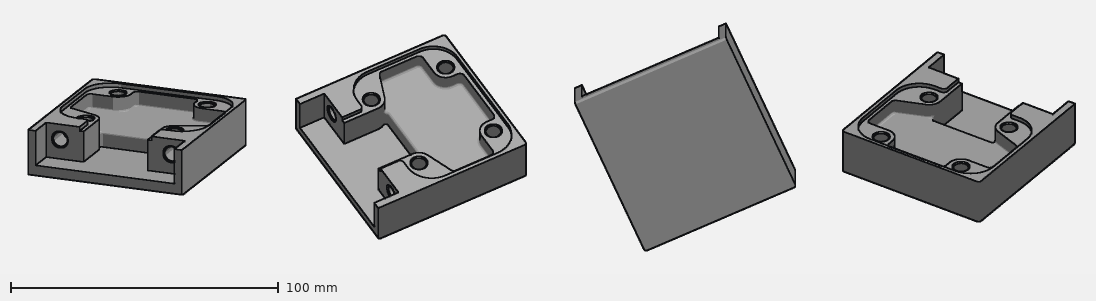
import cadquery as cq
import math

WIDTH = 62.0
LENGTH = 64.0
HEIGHT = 18.0
EDGE_RADIUS = 1.0

WALL = 3.0
NOTCH_HALF_WIDTH = WIDTH / 2 - WALL
NOTCH_DEPTH = 10.4
FLOOR_Z = 4.35

RECESS_DEPTH = 1.6
RECESS_SIDE_RIM = 1.6
RECESS_HALF_WIDTH = WIDTH / 2 - RECESS_SIDE_RIM
RECESS_FRONT_Y = 19.5
RECESS_BACK_Y = 62.6
RECESS_RADIUS = 10.25
RECESS_LIP_RADIUS = 1.5
CHANNEL_LEDGE = 1.6
LEDGE_Z = HEIGHT - RECESS_DEPTH

HOLE_DIAMETER = 5.6
HOLE_CHAMFER = 0.48
HOLE_DEPTH = 10.0
COVER_HOLE_X = 18.0
COVER_HOLE_FRONT_Y = 24.95
COVER_HOLE_BACK_Y = 56.95
FRONT_HOLE_X = 22.45
FRONT_HOLE_Z = 12.0

BOSS_RADIUS = 5.05
CHANNEL_HALF_WIDTH = COVER_HOLE_X - BOSS_RADIUS
POCKET_BACK_Y = 61.0
POCKET_FLOOR_Z = 10.5
POCKET_CORNER_RADIUS = 1.8
POCKET_FLOOR_RADIUS = 0.9
SLOPE_DEGREES = 20.0

STEP_Y = 29.25
STEP_CORNER_RADIUS = 1.0
STEP_EDGE_RADIUS = 1.0


def point_on_boss(hole_y, degrees):
    """Point on the wall of a right-hand boss; 180 degrees faces the middle of the part."""
    angle = math.radians(degrees)
    return COVER_HOLE_X + BOSS_RADIUS * math.cos(angle), hole_y + BOSS_RADIUS * math.sin(angle)


def round_uprights(solid, right_points, z, radius):
    """Round the upright edges at the given right-hand points and their mirror images."""
    for x, y in right_points:
        for side in (-1, 1):
            solid = solid.edges(cq.selectors.NearestToPointSelector((side * x, y, z))).fillet(radius)
    return solid


def make_block():
    """Outer block with rounded back corners and a rounded lower front edge."""
    block = cq.Workplane("XY").box(WIDTH, LENGTH, HEIGHT, centered=(True, False, False))
    block = block.edges("|Z and >Y").fillet(EDGE_RADIUS)
    return block.edges("|X and <Y and <Z").fillet(EDGE_RADIUS)


def box_cut(half_width, y_start, y_end, z_floor):
    """Cutter centred on X that is open to the top of the block."""
    size = (2 * half_width, y_end - y_start, HEIGHT - z_floor)
    return cq.Workplane("XY").box(*size, centered=(True, False, False)).translate((0, y_start, z_floor))


def make_recess():
    """Cutter for the cover recess, with its narrow arm reaching the front notch."""
    half_channel = CHANNEL_HALF_WIDTH + CHANNEL_LEDGE
    plate = box_cut(RECESS_HALF_WIDTH, RECESS_FRONT_Y, RECESS_BACK_Y, LEDGE_Z)
    plate = plate.edges("|Z").fillet(RECESS_RADIUS)
    recess = plate.union(box_cut(half_channel, 0, COVER_HOLE_FRONT_Y, LEDGE_Z))
    return round_uprights(recess, [(half_channel, RECESS_FRONT_Y)], (LEDGE_Z + HEIGHT) / 2, RECESS_LIP_RADIUS)


def make_pocket():
    """Cutter for the main pocket, run out to the front of the block between the front bosses."""
    slope_start_degrees = 90 + SLOPE_DEGREES
    slope_start = point_on_boss(COVER_HOLE_FRONT_Y, slope_start_degrees)
    slope_rise = (NOTCH_HALF_WIDTH - slope_start[0]) * math.tan(math.radians(SLOPE_DEGREES))
    side_front = (NOTCH_HALF_WIDTH, slope_start[1] + slope_rise)
    side_back = (NOTCH_HALF_WIDTH, COVER_HOLE_BACK_Y - BOSS_RADIUS)
    neck_back = (CHANNEL_HALF_WIDTH, POCKET_BACK_Y)
    front_arc_mid = point_on_boss(COVER_HOLE_FRONT_Y, (180 + slope_start_degrees) / 2)
    back_arc_mid = point_on_boss(COVER_HOLE_BACK_Y, (180 + 270) / 2)
    pocket_depth = HEIGHT - POCKET_FLOOR_Z
    pocket = (
        cq.Workplane("XY", origin=(0, 0, POCKET_FLOOR_Z))
        .moveTo(0, 0)
        .lineTo(CHANNEL_HALF_WIDTH, 0)
        .lineTo(CHANNEL_HALF_WIDTH, COVER_HOLE_FRONT_Y)
        .threePointArc(front_arc_mid, slope_start)
        .lineTo(*side_front)
        .lineTo(*side_back)
        .lineTo(COVER_HOLE_X, COVER_HOLE_BACK_Y - BOSS_RADIUS)
        .threePointArc(back_arc_mid, (CHANNEL_HALF_WIDTH, COVER_HOLE_BACK_Y))
        .lineTo(*neck_back)
        .lineTo(0, POCKET_BACK_Y)
        .mirrorY()
        .extrude(pocket_depth)
    )
    corners = [side_front, side_back, neck_back]
    pocket = round_uprights(pocket, corners, POCKET_FLOOR_Z + pocket_depth / 2, POCKET_CORNER_RADIUS)
    return pocket.faces("<Z").edges().fillet(POCKET_FLOOR_RADIUS)


def make_channel():
    """Cutter for the deep channel between the front bosses, ending at the step."""
    step_rise_degrees = math.degrees(math.asin((STEP_Y - COVER_HOLE_FRONT_Y) / BOSS_RADIUS))
    step_corner = point_on_boss(COVER_HOLE_FRONT_Y, 180 - step_rise_degrees)
    arc_mid = point_on_boss(COVER_HOLE_FRONT_Y, 180 - step_rise_degrees / 2)
    depth = HEIGHT - FLOOR_Z
    channel = (
        cq.Workplane("XY", origin=(0, 0, FLOOR_Z))
        .moveTo(0, 0)
        .lineTo(CHANNEL_HALF_WIDTH, 0)
        .lineTo(CHANNEL_HALF_WIDTH, COVER_HOLE_FRONT_Y)
        .threePointArc(arc_mid, step_corner)
        .lineTo(0, STEP_Y)
        .mirrorY()
        .extrude(depth)
    )
    return round_uprights(channel, [step_corner], FLOOR_Z + depth / 2, STEP_CORNER_RADIUS)


def screw_hole():
    """Blind hole cutter that runs down from the origin along -Z, chamfered at its mouth."""
    radius = HOLE_DIAMETER / 2
    mouth = cq.Workplane("XY").circle(radius + HOLE_CHAMFER)
    mouth = mouth.workplane(offset=-HOLE_CHAMFER).circle(radius).loft()
    return cq.Workplane("XY").circle(radius).extrude(-HOLE_DEPTH).union(mouth)


result = make_block()
result = result.cut(box_cut(NOTCH_HALF_WIDTH, 0, NOTCH_DEPTH, FLOOR_Z))
result = result.cut(make_recess()).cut(make_pocket()).cut(make_channel())

step_edge = cq.selectors.NearestToPointSelector((0, STEP_Y, POCKET_FLOOR_Z))
result = result.edges(step_edge).fillet(STEP_EDGE_RADIUS)

front_hole = screw_hole().rotate((0, 0, 0), (1, 0, 0), 90)
for side in (-1, 1):
    for hole_y in (COVER_HOLE_FRONT_Y, COVER_HOLE_BACK_Y):
        result = result.cut(screw_hole().translate((side * COVER_HOLE_X, hole_y, LEDGE_Z)))
    result = result.cut(front_hole.translate((side * FRONT_HOLE_X, NOTCH_DEPTH, FRONT_HOLE_Z)))